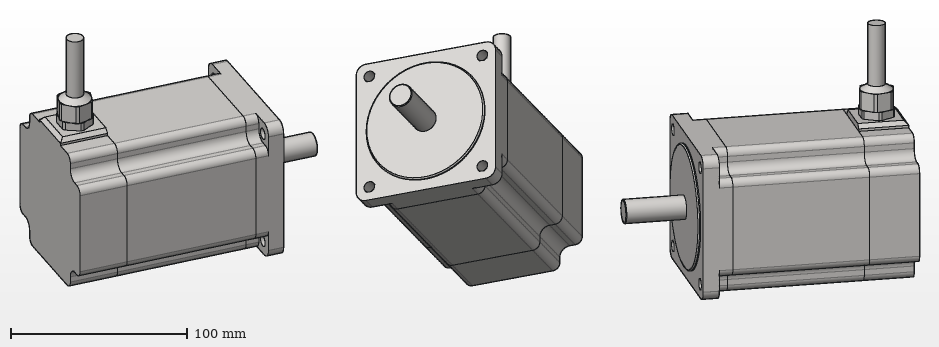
import cadquery as cq
import math


case_width = 85.9
half_width = case_width / 2
overall_length = 162.6
case_length = 125.9
front_end_length = 17.2
rear_cover_length = 29.1
stator_length = case_length - front_end_length - rear_cover_length

notch_wall = 29.1
notch_inner_radius = 6.0
notch_lip_radius = 4.4

ear_thickness = 9.5
flange_corner_radius = 6.0
mounting_hole_diameter = 6.5
mounting_hole_offset = 34.8

boss_diameter = 73.0
boss_height = 1.5
boss_chamfer = 0.8
shaft_diameter = 14.0
shaft_chamfer = 0.5

pad_width = 29.9
pad_height = 3.9
pad_chamfer = 2.5

gland_rear_distance = 15.5
hex_across_flats = 19.0
hex_corner_diameter = 21.0
nut_angle = -15.0
lower_hex_height = 4.9
nut_height = 10.9
cone_height = 3.0
cable_diameter = 10.0
overall_height = 144.9

ear_back_y = -ear_thickness
stator_front_y = -front_end_length
rear_cover_front_y = stator_front_y - stator_length
rear_y = -case_length
gland_y = rear_y + gland_rear_distance


def station(y):
    """Workplane at the given Y, with its local axes along X and Z."""
    return cq.Workplane("XZ", origin=(0, y, 0))


def corner_notch(front_y, rear_end_y):
    """Solid that cuts the (+X, +Z) corner of the case between two stations."""
    diagonal = math.sqrt(0.5)
    lip_center = half_width - notch_lip_radius
    lip_start = notch_wall - notch_lip_radius
    lip_mid_far = lip_center + notch_lip_radius * diagonal
    lip_mid_near = lip_start + notch_lip_radius * diagonal
    inner_center = notch_wall + notch_inner_radius
    inner_mid = inner_center - notch_inner_radius * diagonal
    return (
        station(front_y)
        .moveTo(half_width, half_width)
        .lineTo(half_width, lip_start)
        .threePointArc((lip_mid_far, lip_mid_near), (lip_center, notch_wall))
        .lineTo(inner_center, notch_wall)
        .threePointArc((inner_mid, inner_mid), (notch_wall, inner_center))
        .lineTo(notch_wall, lip_center)
        .threePointArc((lip_mid_near, lip_mid_far), (lip_start, half_width))
        .close()
        .extrude(front_y - rear_end_y)
    )


def notched_block(front_y, rear_end_y):
    """Length of the case between two stations, with its four corners notched."""
    block = station(front_y).rect(case_width, case_width).extrude(front_y - rear_end_y)
    notch = corner_notch(front_y, rear_end_y)
    for quarter in range(4):
        block = block.cut(notch.rotate((0, 0, 0), (0, 1, 0), 90 * quarter))
    return block


def rounded_hex(base_z, height, angle):
    """Hex prism on the gland axis whose corners are turned to a cylinder."""
    corner_to_corner = hex_across_flats / math.cos(math.pi / 6)
    base = cq.Workplane("XY", origin=(0, gland_y, base_z))
    hexagon = base.polygon(6, corner_to_corner).extrude(height)
    hexagon = hexagon.rotate((0, gland_y, 0), (0, gland_y, 1), angle)
    return hexagon.intersect(base.circle(hex_corner_diameter / 2).extrude(height))


def make_front_flange():
    """Front end: plate with four mounting ears, centring boss and notched rear part."""
    plate = (
        station(0)
        .rect(case_width, case_width)
        .extrude(ear_thickness)
        .edges("|Y")
        .fillet(flange_corner_radius)
    )
    boss = (
        station(0)
        .circle(boss_diameter / 2)
        .extrude(-boss_height)
        .faces(">Y")
        .chamfer(boss_chamfer)
    )
    holes = (
        station(0)
        .rect(2 * mounting_hole_offset, 2 * mounting_hole_offset, forConstruction=True)
        .vertices()
        .circle(mounting_hole_diameter / 2)
        .extrude(ear_thickness)
    )
    return plate.cut(holes).union(boss).union(notched_block(ear_back_y, stator_front_y))


def make_stator():
    """Middle length of the case."""
    return notched_block(stator_front_y, rear_cover_front_y)


def make_cable_pad():
    """Raised pad on the rear cover, chamfered along its sides and its rear edge."""
    return (
        cq.Workplane("XY", origin=(0, rear_y + rear_cover_length / 2, half_width))
        .rect(pad_width, rear_cover_length)
        .extrude(pad_height)
        .faces(">Z")
        .edges("|Y or <Y")
        .chamfer(pad_chamfer)
    )


def make_cable_gland():
    """Lower hex, turned nut with a conical top, and the cable that rises from it."""
    lower_hex_z = half_width + pad_height
    nut_z = lower_hex_z + lower_hex_height
    cone_z = nut_z + nut_height
    cable_z = cone_z + cone_height
    cable_top_z = overall_height - half_width
    cone = (
        cq.Workplane("XY", origin=(0, gland_y, cone_z))
        .circle(hex_across_flats / 2)
        .workplane(offset=cone_height)
        .circle(cable_diameter / 2)
        .loft()
    )
    cable = (
        cq.Workplane("XY", origin=(0, gland_y, cable_z))
        .circle(cable_diameter / 2)
        .extrude(cable_top_z - cable_z)
    )
    lower_hex = rounded_hex(lower_hex_z, lower_hex_height, 0)
    nut = rounded_hex(nut_z, nut_height, nut_angle)
    return lower_hex.union(nut).union(cone).union(cable)


def make_rear_cover():
    """Rear length of the case with its cable outlet."""
    cover = notched_block(rear_cover_front_y, rear_y)
    return cover.union(make_cable_pad()).union(make_cable_gland())


def make_shaft():
    """Round output shaft that stands on the centring boss."""
    shaft_length = overall_length - case_length - boss_height
    return (
        station(boss_height)
        .circle(shaft_diameter / 2)
        .extrude(-shaft_length)
        .faces(">Y")
        .chamfer(shaft_chamfer)
    )


front_flange = make_front_flange()
stator = make_stator()
rear_cover = make_rear_cover()
shaft = make_shaft()

result = cq.Compound.makeCompound(
    [front_flange.val(), stator.val(), rear_cover.val(), shaft.val()]
)